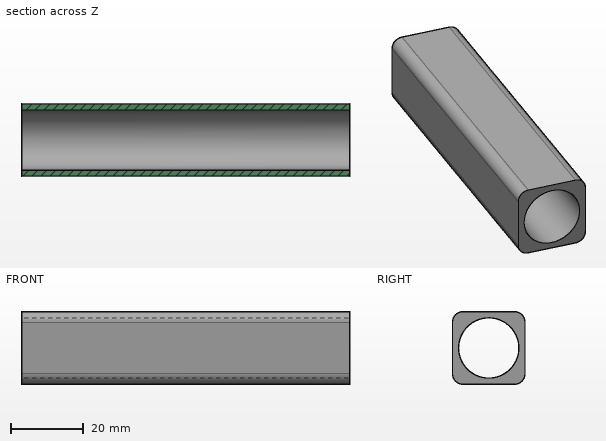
import cadquery as cq

length = 90.0
width = 20.0
corner_radius = 3.0
bore_diameter = 16.5

bar = cq.Workplane("XY").box(length, width, width).edges("|X").fillet(corner_radius)

result = bar.faces(">X").workplane(centerOption="CenterOfBoundBox").hole(bore_diameter)